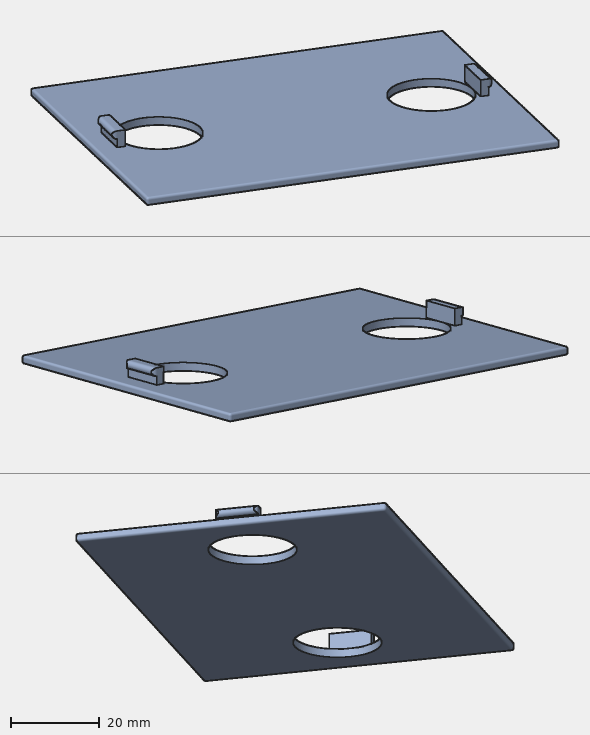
import cadquery as cq

plate_width = 73.3
plate_length = 100
plate_thickness = 2
edge_fillet = 0.6

hole_diameter = 20
hole_offset = 33

overall_height = 6
tab_width = 10
tab_thickness = 2
barb_radius = 1
tab_inner_y = hole_offset + hole_diameter / 2
tab_outer_y = tab_inner_y + tab_thickness
barb_center_z = overall_height - barb_radius


def make_plate():
    """Plate with all outer edges rounded and two through holes."""
    plate = cq.Workplane("XY").box(
        plate_width, plate_length, plate_thickness, centered=(True, True, False)
    )
    plate = plate.edges().fillet(edge_fillet)
    holes = (
        cq.Workplane("XY")
        .pushPoints([(0, hole_offset), (0, -hole_offset)])
        .circle(hole_diameter / 2)
        .extrude(plate_thickness)
    )
    return plate.cut(holes)


def make_tab():
    """Tab at +Y: an upright post with a half-round barb facing outward."""
    post = cq.Workplane("XY").box(
        tab_width, tab_thickness, overall_height - plate_thickness / 2, centered=(True, False, False)
    ).translate((0, tab_inner_y, plate_thickness / 2))
    barb = (
        cq.Workplane("YZ", origin=(-tab_width / 2, 0, 0))
        .moveTo(tab_outer_y, barb_center_z - barb_radius)
        .threePointArc(
            (tab_outer_y + barb_radius, barb_center_z),
            (tab_outer_y, barb_center_z + barb_radius),
        )
        .close()
        .extrude(tab_width)
    )
    barb_plan = (
        cq.Workplane("XY")
        .box(tab_width, tab_thickness + barb_radius, overall_height, centered=(True, False, False))
        .edges("|Z and >Y")
        .fillet(barb_radius)
        .translate((0, tab_inner_y, 0))
    )
    return post.union(barb.intersect(barb_plan))


tab = make_tab()
result = make_plate().union(tab).union(tab.mirror("XZ"))